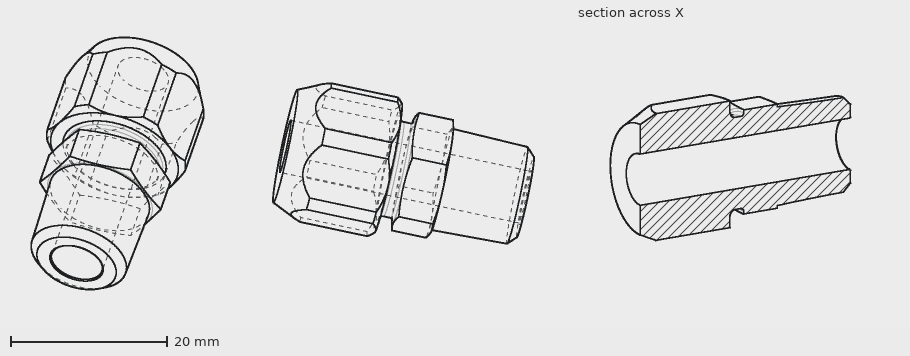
import cadquery as cq
import math

total_length = 31.5

thread_tip_radius = 5.3
thread_start_radius = 6.35
thread_root_radius = 6.65
thread_chamfer = thread_start_radius - thread_tip_radius

body_hex_start = 10.95
body_hex_end = 16.0
body_hex_flats = 14.0
body_hex_bevel_angle = 15.0

neck_radius = 6.2
body_fillet_radius = 0.4
flare_fillet_radius = 0.55
flare_length = 0.235
flare_angle = 60.0

nut_start = 18.02
nut_flats = 17.0
nut_corner_diameter = 18.5
nut_cone_start = 27.5
nut_back_radius = 7.4

bore_radius = 3.4
bore_chamfer = 0.15


def revolve_about_y(profile):
    """Turn a closed (radius, Y) profile one full turn about the Y axis."""
    return profile.close().revolve(360, (0, 0, 0), (0, 1, 0))


def turned(points):
    """Turn a straight-sided (radius, Y) outline about the Y axis."""
    return revolve_about_y(cq.Workplane("XY").polyline(points))


def hexagon(start, end, flats):
    """Hexagonal prism along Y with corners on +X and -X."""
    across_corners = flats / math.cos(math.radians(30))
    face = cq.Workplane("XZ", origin=(0, start, 0))
    return face.polygon(6, across_corners).extrude(start - end)


def make_thread_body():
    return turned([
        (0, 0),
        (thread_tip_radius, 0),
        (thread_start_radius, thread_chamfer),
        (thread_root_radius, body_hex_start),
        (0, body_hex_start),
    ])


def make_body_hex():
    """Hexagon with shallow conical bevels on the corners of both ends."""
    face_radius = body_hex_flats / 2
    corner_radius = face_radius / math.cos(math.radians(30))
    bevel = (corner_radius - face_radius) * math.tan(math.radians(body_hex_bevel_angle))
    envelope = turned([
        (0, body_hex_start),
        (face_radius, body_hex_start),
        (corner_radius, body_hex_start + bevel),
        (corner_radius, body_hex_end - bevel),
        (face_radius, body_hex_end),
        (0, body_hex_end),
    ])
    return hexagon(body_hex_start, body_hex_end, body_hex_flats).intersect(envelope)


def make_neck():
    """Cylinder with concave fillets at both ends, the nut end running into a conical flare."""
    body_fillet_rim = neck_radius + body_fillet_radius
    body_inset = body_fillet_radius * (1 - math.sqrt(0.5))
    slope = math.radians(flare_angle)
    flare_start = nut_start - flare_length
    flare_fillet_start = flare_start - flare_fillet_radius * math.sin(slope)

    def flare_fillet_point(angle):
        return (
            neck_radius + flare_fillet_radius * (1 - math.cos(angle)),
            flare_fillet_start + flare_fillet_radius * math.sin(angle),
        )

    flare_rim = flare_fillet_point(slope)[0] + flare_length * math.tan(slope)
    profile = (
        cq.Workplane("XY")
        .moveTo(0, body_hex_end)
        .lineTo(body_fillet_rim, body_hex_end)
        .threePointArc(
            (neck_radius + body_inset, body_hex_end + body_inset),
            (neck_radius, body_hex_end + body_fillet_radius),
        )
        .lineTo(neck_radius, flare_fillet_start)
        .threePointArc(flare_fillet_point(slope / 2), flare_fillet_point(slope))
        .lineTo(flare_rim, nut_start)
        .lineTo(0, nut_start)
    )
    return revolve_about_y(profile)


def make_nut():
    """Hexagon with rounded corners, a 45 degree front bevel and a long rear cone."""
    face_radius = nut_flats / 2
    nut_corner_radius = nut_corner_diameter / 2
    bevel = nut_corner_radius - face_radius
    envelope = turned([
        (0, nut_start),
        (face_radius, nut_start),
        (nut_corner_radius, nut_start + bevel),
        (nut_corner_radius, nut_cone_start),
        (nut_back_radius, total_length),
        (0, total_length),
    ])
    return hexagon(nut_start, total_length, nut_flats).intersect(envelope)


def make_bore():
    """Through bore with a small chamfer at the threaded end."""
    return turned([
        (0, 0),
        (bore_radius + bore_chamfer, 0),
        (bore_radius, bore_chamfer),
        (bore_radius, total_length),
        (0, total_length),
    ])


result = (
    make_thread_body()
    .union(make_body_hex())
    .union(make_neck())
    .union(make_nut())
    .cut(make_bore())
)